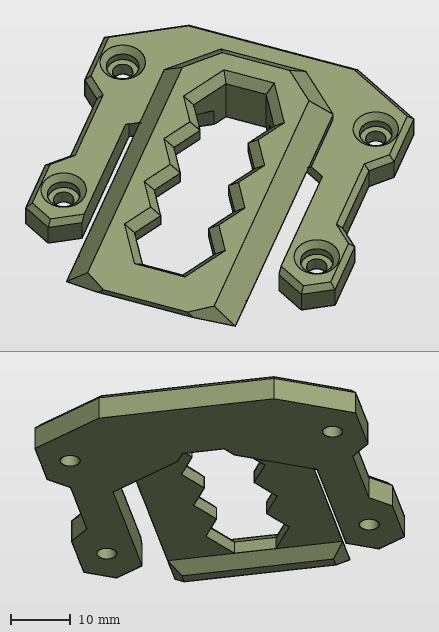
import cadquery as cq
import math

TAN30 = math.tan(math.radians(30))
COS30 = math.cos(math.radians(30))
TAN22_5 = math.tan(math.radians(22.5))

total_length = 65.0
total_height = 10.0
plate_width = 55.0

plate_thickness = 5.0
plate_chamfer = 1.0
back_edge_length = 30.0
arm_width = 10.0
pad_reach = 5.0
waist_depth = 3.3

screw_spacing = 30.0
screw_diameter = 3.4
counterbore_diameter = 5.45
counterbore_depth = 2.5
countersink_diameter = 7.6

handle_width = 30.0
handle_thickness = 3.8
handle_back_gap = 5.0
handle_corner = 7.5
tip_overhang = 2.7
tip_corner = 3.8
hook_depth = 2.0
hook_length = 6.0

hex_count = 4
hex_pitch = 10.0
hex_radius = 7.15
hex_back_gap = 20.0
hex_bevel = 1.55

slot_corner_gap = 25.1
slot_slope_drop = 1.5

half_width = plate_width / 2
back_corner_x = back_edge_length / 2
side_top_y = -(half_width - back_corner_x) * TAN30
rear_screw_y = side_top_y - pad_reach
front_screw_y = rear_screw_y - screw_spacing
screw_x = half_width - arm_width / 2
arm_inner_x = half_width - arm_width

handle_half = handle_width / 2
handle_bottom = total_height - handle_thickness
handle_end_y = tip_overhang - total_length
first_hex_y = -hex_back_gap


def mirrored(right_side):
    """Complete a symmetric outline from the corners of its +X half, in order."""
    return right_side + [(-x, y) for x, y in reversed(right_side)]


def prism(outline, bottom, height):
    return cq.Workplane("XY").workplane(offset=bottom).polyline(outline).close().extrude(height)


def frustum(lower, upper, bottom, height):
    """Solid with flat sides between two outlines whose edges are parallel."""
    return (
        cq.Workplane("XY").workplane(offset=bottom).polyline(lower).close()
        .workplane(offset=height).polyline(upper).close()
        .loft(ruled=True)
    )


def make_plate():
    """Plate with a chamfered top edge; the slot is cut later so its edges stay sharp."""
    waist_x = half_width - waist_depth
    waist_back_y = rear_screw_y - pad_reach - waist_depth
    waist_front_y = front_screw_y + pad_reach + waist_depth
    arm_end_y = front_screw_y - pad_reach
    arm_point_y = arm_end_y - arm_width / 2 * TAN30
    right_side = [
        (back_corner_x, 0),
        (half_width, side_top_y),
        (half_width, waist_back_y + waist_depth),
        (waist_x, waist_back_y),
        (waist_x, waist_front_y),
        (half_width, waist_front_y - waist_depth),
        (half_width, arm_end_y),
        (screw_x, arm_point_y),
        (screw_x - arm_width, arm_point_y + arm_width * TAN30),
    ]
    return prism(mirrored(right_side), 0, plate_thickness).faces(">Z").edges().chamfer(plate_chamfer)


def handle_outline(inset):
    """Handle outline with the back and sides moved in; the tip keeps its place."""
    side_x = handle_half - inset
    corner_shift = inset * TAN22_5
    return mirrored([
        (handle_half - handle_corner - corner_shift, -handle_back_gap - inset),
        (side_x, -handle_back_gap - handle_corner - corner_shift),
        (side_x, handle_end_y),
        (side_x - tip_corner, -total_length),
    ])


def make_handle():
    """Handle with leaning sides and a tip undercut at 45 degrees."""
    body = frustum(handle_outline(0), handle_outline(handle_thickness), handle_bottom, handle_thickness)
    undercut = (
        cq.Workplane("YZ")
        .moveTo(handle_end_y, handle_bottom)
        .lineTo(handle_end_y - handle_thickness, total_height)
        .lineTo(handle_end_y - handle_thickness, handle_bottom)
        .close()
        .extrude(handle_half, both=True)
    )
    return body.cut(undercut)


def make_neck():
    """Spacer that carries the handle on the plate, later trimmed by the slot."""
    back_corners = handle_outline(0)[:2]
    right_side = back_corners + [(handle_half, handle_end_y + hook_length)]
    return prism(mirrored(right_side), plate_thickness, handle_bottom - plate_thickness)


def make_hook():
    """Lip under the tip, narrowing downwards at 45 degrees on all sides."""
    def outline(inset):
        return mirrored([
            (handle_half - inset, handle_end_y + hook_length - inset),
            (handle_half - inset, handle_end_y + inset),
        ])
    return frustum(outline(hook_depth), outline(0), handle_bottom - hook_depth, hook_depth)


def make_slot():
    """Gap between the arms, ending in a V whose walls slope at 45 degrees under the neck."""
    def outline(height_from_plate_top):
        corner_y = -slot_corner_gap - height_from_plate_top / COS30
        return [
            (0, corner_y + arm_inner_x * TAN30),
            (arm_inner_x, corner_y),
            (arm_inner_x, -total_length),
            (-arm_inner_x, -total_length),
            (-arm_inner_x, corner_y),
        ]

    slope_bottom = plate_thickness - slot_slope_drop
    lower = outline(-slot_slope_drop)
    upper = outline(handle_bottom - plate_thickness)
    slopes = frustum(lower, upper, slope_bottom, handle_bottom - slope_bottom)
    slot = prism(lower, 0, slope_bottom).union(slopes)

    back_wall_y = first_hex_y + hex_radius * COS30
    front_zone = (
        cq.Workplane("XY")
        .box(plate_width, total_length, total_height, centered=(True, False, False))
        .translate((0, back_wall_y - total_length, 0))
    )
    return slot.intersect(front_zone)


def make_hexagons():
    """Chain of overlapping hexagonal openings, bevelled at the handle's top face."""
    def outline(radius):
        last_hex_y = first_hex_y - (hex_count - 1) * hex_pitch
        notch_x = radius - hex_pitch / 2 * TAN30
        right_side = [(radius / 2, first_hex_y + radius * COS30)]
        for index in range(hex_count):
            center_y = first_hex_y - index * hex_pitch
            right_side.append((radius, center_y))
            if index < hex_count - 1:
                right_side.append((notch_x, center_y - hex_pitch / 2))
        right_side.append((radius / 2, last_hex_y - radius * COS30))
        return mirrored(right_side)

    narrow = outline(hex_radius)
    wide = outline(hex_radius + hex_bevel / COS30)
    bevel_bottom = total_height - hex_bevel
    return prism(narrow, 0, bevel_bottom).union(frustum(narrow, wide, bevel_bottom, hex_bevel))


def make_screw_holes():
    """Four counterbored holes with a 45 degree lead-in at the plate top."""
    sink_depth = (countersink_diameter - counterbore_diameter) / 2
    cutter_profile = [
        (0, 0),
        (screw_diameter / 2, 0),
        (screw_diameter / 2, plate_thickness - counterbore_depth),
        (counterbore_diameter / 2, plate_thickness - counterbore_depth),
        (counterbore_diameter / 2, plate_thickness - sink_depth),
        (countersink_diameter / 2, plate_thickness),
        (0, plate_thickness),
    ]
    cutter = cq.Workplane("XZ").polyline(cutter_profile).close().revolve(360, (0, 0, 0), (0, 1, 0))
    holes = cq.Workplane("XY")
    for x in (-screw_x, screw_x):
        for y in (rear_screw_y, front_screw_y):
            holes = holes.union(cutter.translate((x, y, 0)))
    return holes


support = make_plate().union(make_neck()).cut(make_slot())
result = (
    support
    .union(make_handle())
    .union(make_hook())
    .cut(make_hexagons())
    .cut(make_screw_holes())
)